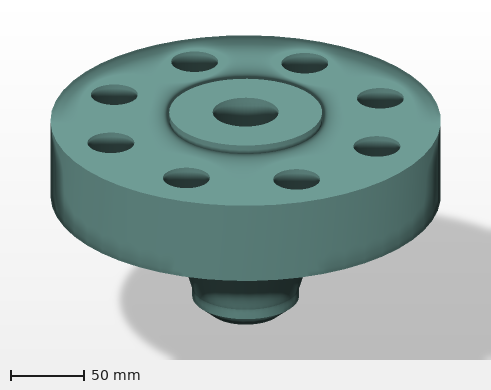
import cadquery as cq
import math

total_height = 149.4
flange_diameter = 266.7
flange_thickness = 57.0
face_diameter = 104.5
face_height = 6.5
bore_diameter = 45.0

bolt_count = 8
bolt_diameter = 32.0
bolt_circle_diameter = 196.8

weld_end_diameter = 73.0
bevel_tip_diameter = 49.5
bevel_height = 10.0
weld_end_height = 7.2
hub_top_diameter = 110.5
fillet_height = 8.5
fillet_radius = 12.0

flange_top = total_height - face_height
flange_bottom = flange_top - flange_thickness
taper_bottom = bevel_height + weld_end_height
taper_top = flange_bottom - fillet_height

fillet_center_z = flange_bottom - fillet_radius
fillet_rise = taper_top - fillet_center_z
fillet_reach = math.sqrt(fillet_radius**2 - fillet_rise**2)
fillet_end_radius = hub_top_diameter / 2 + fillet_reach
middle_angle = (math.asin(fillet_rise / fillet_radius) + math.pi / 2) / 2
fillet_middle = (
    fillet_end_radius - fillet_radius * math.cos(middle_angle),
    fillet_center_z + fillet_radius * math.sin(middle_angle),
)


def make_body():
    """Revolve the half section, including the through bore, about Z."""
    profile = (
        cq.Workplane("XZ")
        .moveTo(bore_diameter / 2, 0)
        .lineTo(bevel_tip_diameter / 2, 0)
        .lineTo(weld_end_diameter / 2, bevel_height)
        .lineTo(weld_end_diameter / 2, taper_bottom)
        .lineTo(hub_top_diameter / 2, taper_top)
        .threePointArc(fillet_middle, (fillet_end_radius, flange_bottom))
        .lineTo(flange_diameter / 2, flange_bottom)
        .lineTo(flange_diameter / 2, flange_top)
        .lineTo(face_diameter / 2, flange_top)
        .lineTo(face_diameter / 2, total_height)
        .lineTo(bore_diameter / 2, total_height)
        .close()
    )
    return profile.revolve(360, (0, 0, 0), (0, 1, 0))


def make_bolt_holes():
    """Cylinders on the bolt circle, the first one on the X axis."""
    return (
        cq.Workplane("XY", origin=(0, 0, flange_bottom))
        .polarArray(bolt_circle_diameter / 2, 0, 360, bolt_count)
        .circle(bolt_diameter / 2)
        .extrude(flange_thickness)
    )


result = make_body().cut(make_bolt_holes())